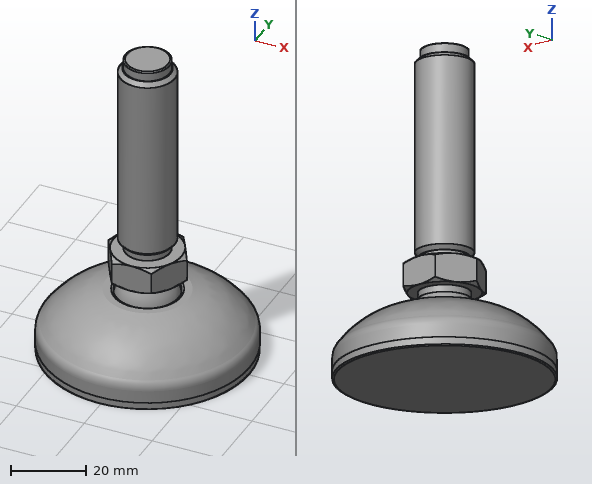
import cadquery as cq
import math

total_height = 92.2

base_radius = 60.0 / 2
pad_thickness = 2.3
pad_chamfer_width = 0.5
pad_chamfer_height = 0.3

foot_top = 19.1
top_flat_radius = 24.0 / 2
dome_arc_radius = 26.5
dome_top_radius = 26.4 / 2
dome_top_z = 18.75
shoulder_top_radius = 57.6 / 2
shoulder_top_z = 8.7
shoulder_bottom_z = 6.0
socket_mouth_radius = 19.5 / 2
socket_chamfer_depth = 0.3

ball_radius = 18.32 / 2
neck_radius = 14.3 / 2
neck_bottom = 22.25
stud_length = 60.0
hex_height = 8.0
hex_across_flats = 20.1
hex_face_radius = 20.0 / 2
hex_chamfer_angle = math.radians(30)
thread_radius = 16.0 / 2
undercut_radius = 13.0 / 2
undercut_length = 2.0
tip_radius = undercut_radius
thread_root_radius = 13.55 / 2
thread_end_drop = 4.0
tip_chamfer_width = 0.5
tip_chamfer_height = 0.3

hex_top = total_height - stud_length
hex_bottom = hex_top - hex_height
undercut_top = hex_top + undercut_length
thread_chamfer = thread_radius - thread_root_radius
thread_end = total_height - thread_end_drop
tip_bottom = thread_end + thread_chamfer
ball_centre_z = neck_bottom - math.sqrt(ball_radius**2 - neck_radius**2)
ball_bottom = ball_centre_z - ball_radius


def revolve_about_z(profile):
    """Full turn of a closed XZ-plane profile about the Z axis."""
    return profile.close().revolve(360, (0, 0, 0), (0, 1, 0))


def make_pad():
    """Flat disc with a chamfered lower rim."""
    profile = (
        cq.Workplane("XZ")
        .lineTo(base_radius - pad_chamfer_width, 0)
        .lineTo(base_radius, pad_chamfer_height)
        .lineTo(base_radius, pad_thickness)
        .lineTo(0, pad_thickness)
    )
    return revolve_about_z(profile)


def make_foot():
    """Domed foot with a chamfered bore that ends in a half-round seat for the ball."""
    seat_mid = ball_radius * math.sqrt(0.5)

    profile = (
        cq.Workplane("XZ")
        .moveTo(0, pad_thickness)
        .lineTo(base_radius, pad_thickness)
        .lineTo(base_radius, shoulder_bottom_z)
        .tangentArcPoint((shoulder_top_radius, shoulder_top_z), relative=False)
        .radiusArc((dome_top_radius, dome_top_z), -dome_arc_radius)
        .lineTo(top_flat_radius, foot_top)
        .lineTo(socket_mouth_radius, foot_top)
        .lineTo(ball_radius, foot_top - socket_chamfer_depth)
        .lineTo(ball_radius, ball_centre_z)
        .threePointArc((seat_mid, ball_centre_z - seat_mid), (0, ball_bottom))
    )
    return revolve_about_z(profile)


def make_hexagon():
    """Hexagon with corners along X, chamfered at both ends."""
    corner_radius = hex_across_flats / math.sqrt(3)
    chamfer_height = (corner_radius - hex_face_radius) * math.tan(hex_chamfer_angle)
    prism = (
        cq.Workplane("XY")
        .workplane(offset=hex_bottom)
        .polygon(6, 2 * corner_radius)
        .extrude(hex_height)
    )
    envelope = (
        cq.Workplane("XZ")
        .moveTo(0, hex_bottom)
        .lineTo(hex_face_radius, hex_bottom)
        .lineTo(corner_radius, hex_bottom + chamfer_height)
        .lineTo(corner_radius, hex_top - chamfer_height)
        .lineTo(hex_face_radius, hex_top)
        .lineTo(0, hex_top)
    )
    return prism.intersect(revolve_about_z(envelope))


def make_spindle():
    """Ball, neck, hexagon, undercut, plain thread cylinder and tip in one piece."""
    profile = (
        cq.Workplane("XZ")
        .moveTo(0, ball_bottom)
        .threePointArc((ball_radius, ball_centre_z), (neck_radius, neck_bottom))
        .lineTo(neck_radius, hex_bottom)
        .lineTo(undercut_radius, hex_top)
        .lineTo(undercut_radius, undercut_top)
        .lineTo(thread_root_radius, undercut_top)
        .lineTo(thread_radius, undercut_top + thread_chamfer)
        .lineTo(thread_radius, thread_end)
        .lineTo(thread_root_radius, tip_bottom)
        .lineTo(tip_radius, tip_bottom)
        .lineTo(tip_radius, total_height - tip_chamfer_height)
        .lineTo(tip_radius - tip_chamfer_width, total_height)
        .lineTo(0, total_height)
    )
    return revolve_about_z(profile).union(make_hexagon())


pad = make_pad()
foot = make_foot()
spindle = make_spindle()

result = cq.Compound.makeCompound([pad.val(), foot.val(), spindle.val()])